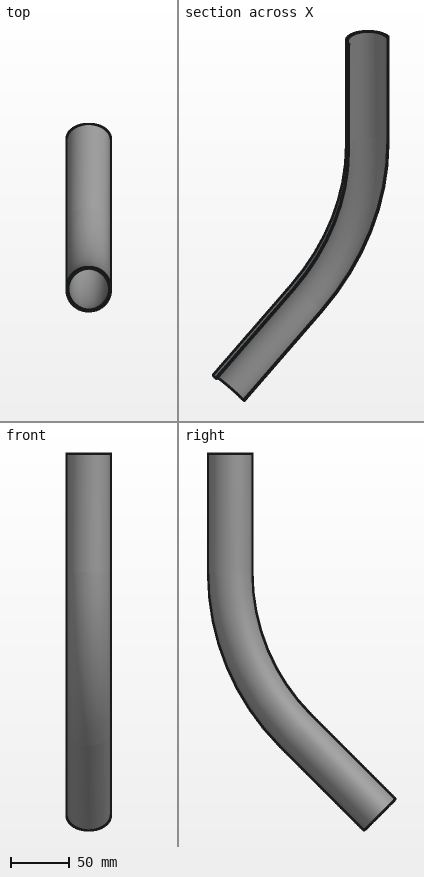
import cadquery as cq
import math

OUTER_DIAMETER = 38.1
INNER_DIAMETER = 34.9

LEG_LENGTH = 101.6
BEND_RADIUS = 5 * OUTER_DIAMETER
BEND_ANGLE = 45.0


def bend_point(angle):
    """Centreline point (Y, Z) after turning by angle degrees from the upper leg."""
    turn = math.radians(angle)
    return (
        BEND_RADIUS * (1 - math.cos(turn)),
        -BEND_RADIUS * math.sin(turn),
    )


def centreline():
    """Path down the vertical leg, round the bend and out along the sloping leg towards +Y."""
    bend_end_y, bend_end_z = bend_point(BEND_ANGLE)
    slope = math.radians(BEND_ANGLE)
    leg_end = (
        bend_end_y + LEG_LENGTH * math.sin(slope),
        bend_end_z - LEG_LENGTH * math.cos(slope),
    )
    return (
        cq.Workplane("YZ")
        .moveTo(0, LEG_LENGTH)
        .lineTo(*bend_point(0))
        .threePointArc(bend_point(BEND_ANGLE / 2), (bend_end_y, bend_end_z))
        .lineTo(*leg_end)
    )


def bent_tube():
    """Ring section at the top of the vertical leg, swept along the centreline."""
    return (
        cq.Workplane("XY", origin=(0, 0, LEG_LENGTH))
        .circle(OUTER_DIAMETER / 2)
        .circle(INNER_DIAMETER / 2)
        .sweep(centreline())
    )


result = bent_tube()